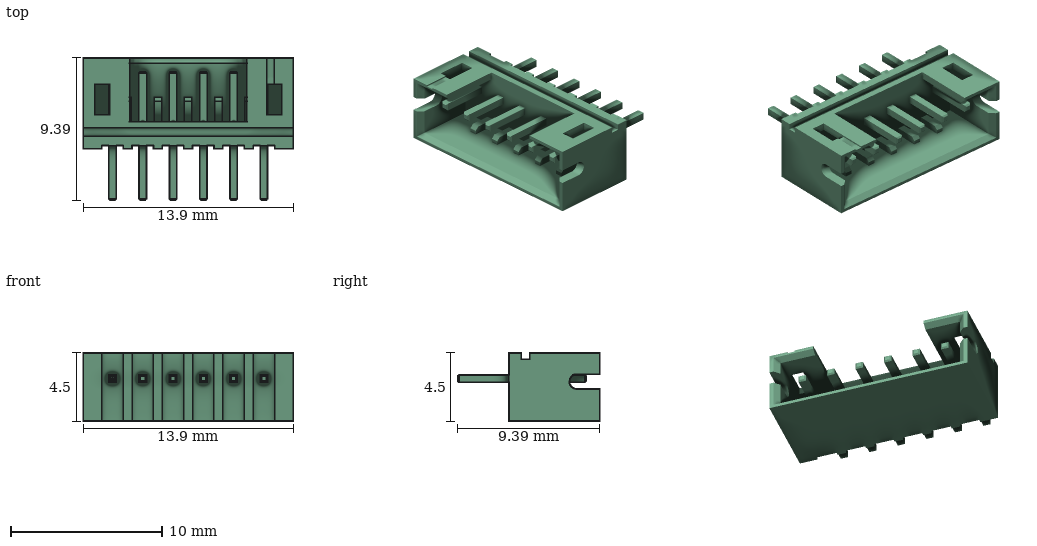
import cadquery as cq


body_width = 13.9
body_depth = 6.0
body_height = 4.5
mouth_y = body_depth

pin_count = 6
pin_pitch = 2.0
pin_size = 0.5
pin_tip_chamfer = 0.1
pin_tail_length = 3.39
pin_setback = 0.9
pin_z = body_height - 1.7
pin_mark_diameter = 0.1
pin_mark_depth = 0.05

cavity_depth = 4.21
cavity_floor_y = mouth_y - cavity_depth
side_wall = 0.65
flat_wall = 0.5
lead_in_depth = 0.36
lead_in_side = 0.36
lead_in_flat = 0.28
cavity_width = body_width - 2 * side_wall
cavity_height = body_height - 2 * flat_wall

notch_width = 7.74
window_width = 0.97
window_length = 2.0
window_setback = 1.75
window_outer_margin = 0.78
window_x = body_width / 2 - window_outer_margin - window_width / 2
slot_width = 0.96
slot_length = 2.0
slot_z = body_height - 1.89
key_groove_width = 0.5
key_groove_depth = 0.1

top_groove_width = 0.55
top_groove_depth = 0.4
top_groove_margin = 0.82
relief_width = 1.4
relief_depth = 0.21

rib_width = 0.5
rib_height = 0.5
rib_setback = 2.61
rib_chamfer = 0.24


def block(x_size, y_size, z_size, x_min, y_min, z_min):
    """Box placed by its lowest corner."""
    return cq.Workplane("XY").box(x_size, y_size, z_size, centered=False).translate((x_min, y_min, z_min))


def centred_positions(count):
    """X positions of a row spaced at the pin pitch and centred on the housing."""
    return [(i - (count - 1) / 2) * pin_pitch for i in range(count)]


def make_cavity():
    middle_z = body_height / 2
    chamber = block(cavity_width, cavity_depth, cavity_height, -cavity_width / 2, cavity_floor_y, flat_wall)
    lead_in = (
        cq.Workplane("XZ", origin=(0, mouth_y, middle_z))
        .rect(cavity_width + 2 * lead_in_side, cavity_height + 2 * lead_in_flat)
        .workplane(offset=lead_in_depth)
        .rect(cavity_width, cavity_height)
        .loft(ruled=True)
    )
    return chamber.union(lead_in)


def make_top_notch():
    """Wide opening in the upper wall, from the mouth back to the cavity floor."""
    cut_height = body_height / 2
    return block(notch_width, cavity_depth, cut_height, -notch_width / 2, cavity_floor_y, cut_height)


def make_window(x):
    """Rectangular hole through the upper wall."""
    y_min = mouth_y - window_setback - window_length
    return block(window_width, window_length, flat_wall, x - window_width / 2, y_min, body_height - flat_wall)


def make_key_groove():
    """Shallow groove from the mouth to the +X window, along the inner edge of the window."""
    x_min = window_x - window_width / 2
    return block(
        key_groove_width, window_setback, key_groove_depth,
        x_min, mouth_y - window_setback, body_height - key_groove_depth,
    )


def make_side_slot():
    """Round-ended slot across both side walls."""
    radius = slot_width / 2
    straight_end_y = mouth_y - slot_length + radius
    return (
        cq.Workplane("YZ", origin=(-body_width / 2, 0, 0))
        .moveTo(mouth_y, slot_z + radius)
        .lineTo(straight_end_y, slot_z + radius)
        .threePointArc((mouth_y - slot_length, slot_z), (straight_end_y, slot_z - radius))
        .lineTo(mouth_y, slot_z - radius)
        .close()
        .extrude(body_width)
    )


def make_top_groove():
    return block(
        body_width, top_groove_width, top_groove_depth,
        -body_width / 2, top_groove_margin, body_height - top_groove_depth,
    )


def make_relief(x):
    """Full-height channel in the mounting face around one pin."""
    return block(relief_width, relief_depth, body_height, x - relief_width / 2, 0, 0)


def make_rib(x):
    """Rib on the lower cavity wall with a bevelled front end."""
    rib_length = cavity_depth - rib_setback
    rib = block(rib_width, rib_length, rib_height, x - rib_width / 2, cavity_floor_y, flat_wall)
    return rib.faces(">Y").edges(">Z").chamfer(rib_chamfer)


def make_pin(x):
    length = mouth_y - pin_setback + pin_tail_length
    pin = block(pin_size, length, pin_size, x - pin_size / 2, -pin_tail_length, pin_z - pin_size / 2)
    return pin.faces("<Y or >Y").edges().chamfer(pin_tip_chamfer)


def make_pin_mark(x):
    """Tiny blind hole in the tail end that marks the first pin."""
    return (
        cq.Workplane("XZ", origin=(x, -pin_tail_length + pin_mark_depth, pin_z))
        .circle(pin_mark_diameter / 2)
        .extrude(pin_mark_depth)
    )


pin_positions = centred_positions(pin_count)
rib_positions = centred_positions(pin_count - 1)

result = block(body_width, body_depth, body_height, -body_width / 2, 0, 0)
result = result.cut(make_cavity()).cut(make_top_notch()).cut(make_side_slot())
result = result.cut(make_top_groove()).cut(make_key_groove())
for x in (-window_x, window_x):
    result = result.cut(make_window(x))
for x in pin_positions:
    result = result.cut(make_relief(x))
for x in rib_positions:
    result = result.union(make_rib(x))
for x in pin_positions:
    result = result.union(make_pin(x))
result = result.cut(make_pin_mark(pin_positions[0]))